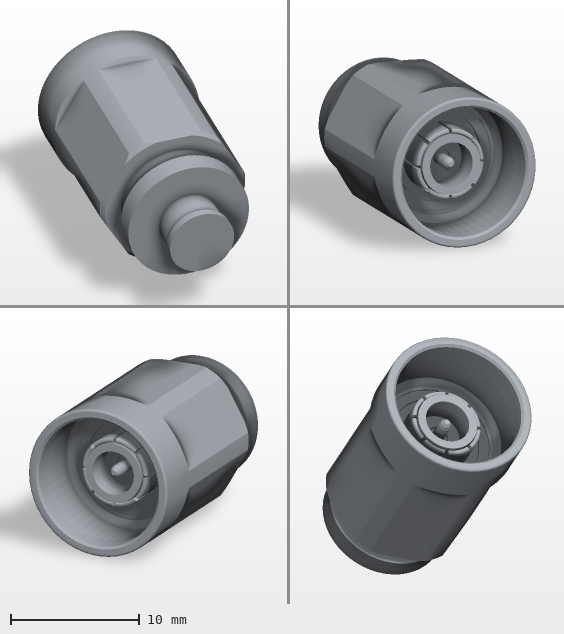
import cadquery as cq
import math


length = 21.2
nut_end = 14.7
flange_start = 16.4
flange_end = 18.13
lip_start = 20.56

nut_radius = 6.0
neck_radius = 4.37
flange_radius = 4.98
tail_radius = 2.42
lip_radius = 2.65

rim_fillet = 0.2
nut_end_chamfer = 0.3
flat_count = 6
flat_distance = 5.51
flat_start = 4.0
ramp_angle = 60.0
cutter_clearance = 0.21

mouth_radius = 5.36
bore_radius = 5.17
floor_radius = 4.65
floor_depth = 5.62
ledge_height = 0.1
mouth_chamfer = mouth_radius - bore_radius
floor_bevel = bore_radius - floor_radius
ledge_depth = floor_depth - ledge_height

ledge_radius = 4.39
gap_radius = 3.58
gap_width = 0.06
gap_depth = 0.21
well_radius = 2.9
well_depth = 0.21
well_floor = floor_depth + well_depth

finger_tip = 2.93
finger_bore_radius = 2.48
finger_tip_radius = 2.63
finger_radius = 2.82
finger_rounding = finger_radius - finger_tip_radius
finger_bevel = 0.06
slot_count = 8
slot_width = 0.28

sleeve_tip = 2.78
sleeve_radius = 2.42
socket_radius = 1.78
socket_floor = 5.09
pin_hole_radius = 0.8
pin_hole_depth = 0.21
pin_tip = 2.86
pin_tip_radius = 0.21
pin_nose_radius = 0.4
pin_radius = 0.49
pin_nose_length = 0.25
pin_taper_length = 0.32


def cylinder(start, end, radius):
    """Solid cylinder on the X axis between two stations."""
    return cq.Workplane("YZ", origin=(start, 0, 0)).circle(radius).extrude(end - start)


def ring(start, end, inner_radius, outer_radius):
    """Tube on the X axis between two stations."""
    return cylinder(start, end, outer_radius).cut(cylinder(start, end, inner_radius))


def revolve(points):
    """Turn a closed outline of (station, radius) points about the X axis."""
    return cq.Workplane("XY").polyline(points).close().revolve(360, (0, 0, 0), (1, 0, 0))


def make_nut():
    """Round nut with a rounded rim and six flats that run out through steep ramps."""
    nut = cylinder(0, nut_end, nut_radius)
    nut = nut.faces("<X").edges().fillet(rim_fillet)
    nut = nut.faces(">X").edges().chamfer(nut_end_chamfer)
    cutter_top = nut_radius + cutter_clearance
    cutter_end = nut_end + cutter_clearance
    ramp_run = (cutter_top - flat_distance) / math.tan(math.radians(ramp_angle))
    flat_cutter = (
        cq.Workplane("XZ")
        .polyline([
            (flat_start, flat_distance),
            (cutter_end, flat_distance),
            (cutter_end, cutter_top),
            (flat_start - ramp_run, cutter_top),
        ])
        .close()
        .extrude(nut_radius, both=True)
    )
    for index in range(flat_count):
        nut = nut.cut(flat_cutter.rotate((0, 0, 0), (1, 0, 0), index * 360 / flat_count))
    return nut


def make_tail():
    """Neck, flange and lipped tail behind the nut."""
    neck = cylinder(nut_end, flange_start, neck_radius)
    flange = cylinder(flange_start, flange_end, flange_radius)
    tail = cylinder(flange_end, lip_start, tail_radius)
    lip = cylinder(lip_start, length, lip_radius)
    return neck.union(flange).union(tail).union(lip)


def make_bore():
    """Volume removed from the open end: straight bore with a bevelled, stepped floor."""
    bore = revolve([
        (0, 0),
        (0, mouth_radius),
        (mouth_chamfer, bore_radius),
        (ledge_depth - floor_bevel, bore_radius),
        (ledge_depth, floor_radius),
        (ledge_depth, ledge_radius),
        (floor_depth, ledge_radius),
        (floor_depth, 0),
    ])
    gap = ring(floor_depth, floor_depth + gap_depth, gap_radius - gap_width, gap_radius)
    well = cylinder(floor_depth, floor_depth + well_depth, well_radius)
    return bore.union(gap).union(well)


def make_fingers():
    """Ring of spring fingers with rounded, bevelled tips, parted by radial slots."""
    rounding_middle = finger_rounding * math.sin(math.radians(45))
    rounding_end = finger_tip + finger_rounding
    fingers = (
        cq.Workplane("XY")
        .moveTo(finger_tip + finger_bevel, finger_bore_radius)
        .lineTo(finger_tip, finger_bore_radius + finger_bevel)
        .lineTo(finger_tip, finger_tip_radius)
        .threePointArc(
            (rounding_end - rounding_middle, finger_tip_radius + rounding_middle),
            (rounding_end, finger_radius),
        )
        .lineTo(well_floor, finger_radius)
        .lineTo(well_floor, finger_bore_radius)
        .close()
        .revolve(360, (0, 0, 0), (1, 0, 0))
    )
    slot_length = well_floor - finger_tip
    slot = cq.Workplane("XY").box(slot_length, 2 * finger_radius, slot_width)
    slot = slot.translate((finger_tip + slot_length / 2, 0, 0))
    for index in range(slot_count // 2):
        fingers = fingers.cut(slot.rotate((0, 0, 0), (1, 0, 0), index * 360 / slot_count))
    return fingers


def make_contact():
    """Sleeve with a round socket and the tapered pin standing in it."""
    sleeve = cylinder(sleeve_tip, well_floor, sleeve_radius)
    sleeve = sleeve.cut(cylinder(sleeve_tip, socket_floor, socket_radius))
    sleeve = sleeve.cut(cylinder(socket_floor, socket_floor + pin_hole_depth, pin_hole_radius))
    nose_end = pin_tip + pin_nose_length
    pin = revolve([
        (pin_tip, 0),
        (pin_tip, pin_tip_radius),
        (nose_end, pin_nose_radius),
        (nose_end + pin_taper_length, pin_radius),
        (well_floor, pin_radius),
        (well_floor, 0),
    ])
    return sleeve.union(pin)


body = make_nut().union(make_tail()).cut(make_bore())
result = body.union(make_fingers()).union(make_contact())